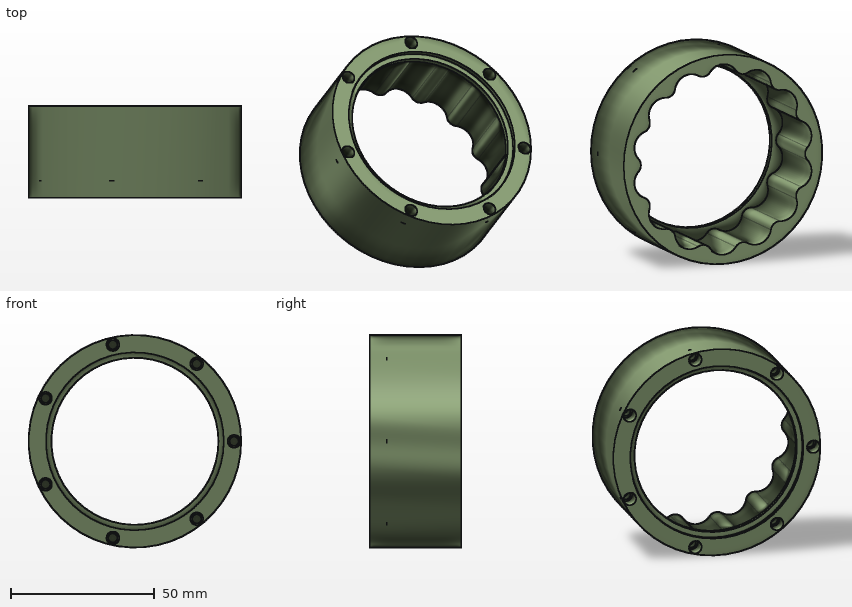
import cadquery as cq
import math

outer_radius = 37.05
width = 32.0
front_y = -width / 2

recess_radius = 31.0
recess_depth = 1.7
lip_radius = 29.05
lip_thickness = 2.0

lobe_count = 14
crest_apex_radius = 30.6
trough_apex_radius = 33.7
trough_arc_radius = 5.85

hole_count = 7
hole_circle_radius = 34.5
insert_diameter = 4.45
insert_depth = 6.0
pilot_diameter = 3.2
pilot_depth = 10.0


def front_workplane(depth=0.0):
    """Sketch plane at a depth behind the front face; negative extrusion goes toward +Y."""
    return cq.Workplane("XZ", origin=(0, front_y + depth, 0))


def polar(radius, angle):
    return (radius * math.cos(angle), radius * math.sin(angle))


def wavy_bore(depth):
    half_pitch = math.pi / lobe_count
    trough_centre = trough_apex_radius - trough_arc_radius

    cosine_term = 2 * trough_centre * math.cos(half_pitch)
    apex_distance_squared = crest_apex_radius**2 + trough_centre**2 - cosine_term * crest_apex_radius
    crest_arc_radius = (apex_distance_squared - trough_arc_radius**2) / (
        2 * trough_arc_radius + cosine_term - 2 * crest_apex_radius
    )

    crest_x, crest_y = polar(crest_apex_radius + crest_arc_radius, half_pitch)
    share = trough_arc_radius / (trough_arc_radius + crest_arc_radius)
    tangent_x = trough_centre + share * (crest_x - trough_centre)
    tangent_y = share * crest_y
    tangent_radius = math.hypot(tangent_x, tangent_y)
    tangent_angle = math.atan2(tangent_y, tangent_x)

    outline = front_workplane(depth).moveTo(*polar(tangent_radius, half_pitch - tangent_angle))
    for lobe in range(lobe_count):
        trough_angle = (2 * lobe + 1) * half_pitch
        crest_angle = trough_angle + half_pitch
        trough_end = polar(tangent_radius, trough_angle + tangent_angle)
        crest_end = polar(tangent_radius, crest_angle + half_pitch - tangent_angle)
        outline = outline.threePointArc(polar(trough_apex_radius, trough_angle), trough_end)
        outline = outline.threePointArc(polar(crest_apex_radius, crest_angle), crest_end)
    return outline.close().extrude(-(width - depth))


def screw_holes(diameter, depth):
    return (
        front_workplane()
        .polarArray(hole_circle_radius, 0, 360, hole_count)
        .circle(diameter / 2)
        .extrude(-depth)
    )


body = front_workplane().circle(outer_radius).extrude(-width)
recess = front_workplane().circle(recess_radius).extrude(-recess_depth)
lip_opening = front_workplane().circle(lip_radius).extrude(-width)

result = (
    body.cut(recess)
    .cut(lip_opening)
    .cut(wavy_bore(recess_depth + lip_thickness))
    .cut(screw_holes(insert_diameter, insert_depth))
    .cut(screw_holes(pilot_diameter, pilot_depth))
)